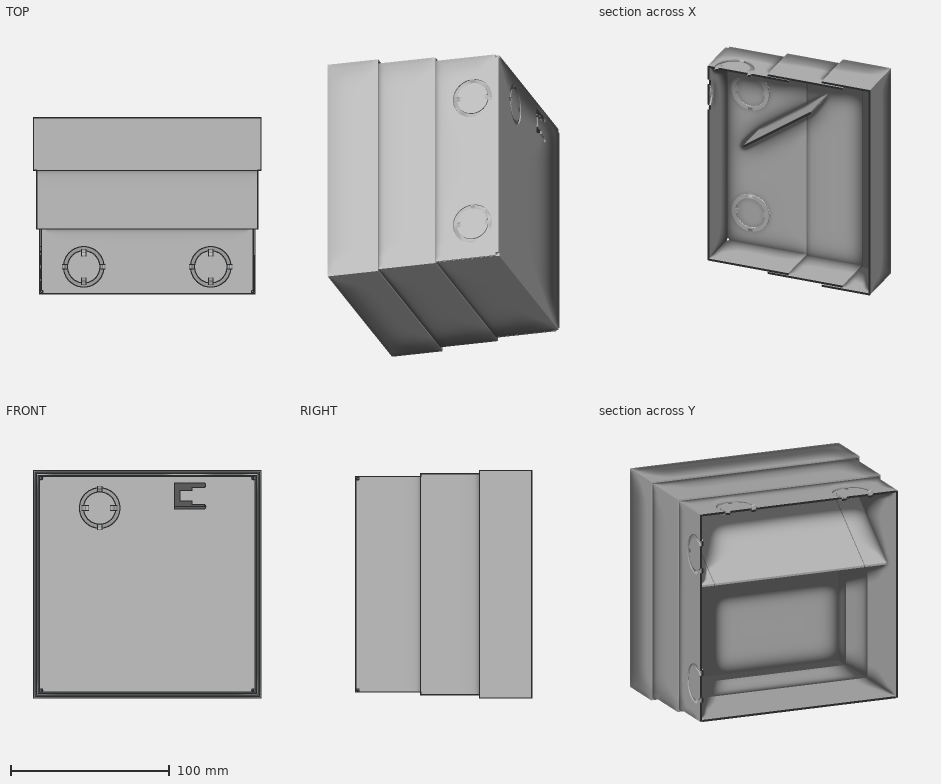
import cadquery as cq
import math

sheet = 1.0
lid_size = 143.5
collar_size = 139.5
box_size = 136.0
total_depth = 111.0
box_shown = 40.9
collar_shown = 37.0
overlap = 14.4

front_y = -total_depth / 2
back_y = total_depth / 2
collar_front_y = front_y + box_shown
lid_front_y = collar_front_y + collar_shown
box_half = box_size / 2

seam_gap = 0.3
corner_relief = 2.0

ring_outer_radius = 12.8
ring_inner_radius = 10.2
ring_sink = 1.1
bridge_width = 3.0
outer_bridge_span = (10.3, 13.5)
inner_bridge_span = (6.9, 11.0)
side_knockout_setback = 17.1
top_knockout_x = 40.0
left_knockout_heights = (40.0, -44.9)
front_knockout_x = -30.0
front_knockout_z = 48.1

slot_left = 17.2
slot_right = 36.7
slot_centre_z = 55.7
slot_half_height = 8.3
arm_height = 3.0
tongue_tip_x = 20.5
tongue_step_x = 28.3
tongue_tip_half_height = 3.3
arm_corner_radius = 1.3

plate_top_z = 49.0
plate_top_setback = 70.3
plate_run = 45.9
plate_angle = 35.0
side_strip_inner_x = 52.0
plate_gap = 0.6


def block(x_range, y_range, z_range):
    """Box given by its limits along each axis."""
    size = [high - low for low, high in (x_range, y_range, z_range)]
    corner = cq.Vector(x_range[0], y_range[0], z_range[0])
    return cq.Workplane(obj=cq.Solid.makeBox(*size, corner))


def square_tube(size, start_y, end_y):
    """Open square sleeve along Y."""
    outer = size / 2
    inner = outer - sheet
    tube = block((-outer, outer), (start_y, end_y), (-outer, outer))
    return tube.cut(block((-inner, inner), (start_y, end_y), (-inner, inner)))


def annulus(plane, outer_radius, inner_radius, outside, inside):
    """Flat ring between two depths below the plane."""
    ring = cq.Workplane(plane).workplane(offset=-inside)
    return ring.circle(outer_radius).circle(inner_radius).extrude(inside - outside)


def bridge(plane, angle, span, high_end_outside):
    """S-bent strip that steps between wall level and ring level along a radius."""
    start, end = span
    start_depth, end_depth = (-ring_sink, 0) if high_end_outside else (0, -ring_sink)
    middle = ((start + end) / 2, -ring_sink / 2)
    half_run = (end - start) / 2
    rise = (end_depth - start_depth) / 2
    bend = (half_run ** 2 + rise ** 2) / (2 * abs(rise))
    sign = 1 if rise > 0 else -1
    side_plane = cq.Plane(
        origin=plane.toWorldCoords((0, 0, 0)), xDir=plane.xDir, normal=plane.yDir.multiply(-1)
    )

    def bend_point(end_x, end_z, direction):
        """Midpoint of the arc that leaves the end level and reaches the middle."""
        centre = cq.Vector(end_x, end_z + direction * bend)
        chord_middle = (cq.Vector(end_x, end_z) + cq.Vector(*middle)) * 0.5
        return centre + (chord_middle - centre).normalized() * bend

    first = bend_point(start, start_depth, sign)
    second = bend_point(end, end_depth, -sign)
    strip = (
        cq.Workplane(side_plane)
        .moveTo(start, start_depth)
        .threePointArc((first.x, first.y), middle)
        .threePointArc((second.x, second.y), (end, end_depth))
        .lineTo(end, end_depth - sheet)
        .threePointArc((second.x, second.y - sheet), (middle[0], middle[1] - sheet))
        .threePointArc((first.x, first.y - sheet), (start, start_depth - sheet))
        .close()
        .extrude(bridge_width / 2, both=True)
    )
    origin = plane.origin
    return strip.rotate(origin.toTuple(), (origin + plane.zDir).toTuple(), angle)


def add_knockout(body, plane):
    """Sink a ring into a wall and tie it to wall and disc with four bridges.

    The plane lies on the wall, points outward, and its X axis runs through
    the two wall-to-ring bridges.
    """
    body = body.cut(annulus(plane, ring_outer_radius, ring_inner_radius, 0, sheet))
    body = body.union(
        annulus(plane, ring_outer_radius, ring_inner_radius, ring_sink, ring_sink + sheet)
    )
    depth = ring_sink + sheet
    for angle in (0, 90, 180, 270):
        reaches_wall = angle in (0, 180)
        span = outer_bridge_span if reaches_wall else inner_bridge_span
        opening = (
            cq.Workplane(plane)
            .transformed(rotate=(0, 0, angle))
            .center(sum(span) / 2, 0)
            .rect(span[1] - span[0], bridge_width)
            .extrude(-depth)
        )
        body = body.cut(opening).union(bridge(plane, angle, span, reaches_wall))
    return body


def tongue_slot():
    """Cutter for the C-shaped slot around the stepped tongue."""
    top = slot_centre_z + slot_half_height
    bottom = slot_centre_z - slot_half_height
    wall = (front_y, front_y + sheet)
    slot = block((slot_left, slot_right), wall, (bottom, top))
    tongue_root = block(
        (tongue_step_x, slot_right), wall, (bottom + arm_height, top - arm_height)
    )
    tongue_tip = block(
        (tongue_tip_x, tongue_step_x),
        wall,
        (slot_centre_z - tongue_tip_half_height, slot_centre_z + tongue_tip_half_height),
    )
    slot = slot.cut(tongue_root).cut(tongue_tip)
    return slot.edges("|Y").edges(">X").fillet(arm_corner_radius)


def make_box():
    """Folded front box, open at the back."""
    box_back_y = collar_front_y + overlap
    box = square_tube(box_size, front_y, box_back_y)
    box = box.union(
        block((-box_half, box_half), (front_y, front_y + sheet), (-box_half, box_half))
    )
    inner = box_half - sheet
    relief = box_half - corner_relief
    for x_side in (-1, 1):
        for z_side in (-1, 1):
            seam_x = sorted((x_side * inner, x_side * (inner - seam_gap)))
            seam_z = sorted((z_side * inner, z_side * box_half))
            box = box.cut(block(seam_x, (front_y + sheet, box_back_y), seam_z))
            relief_x = sorted((x_side * relief, x_side * box_half))
            relief_z = sorted((z_side * relief, z_side * box_half))
            box = box.cut(block(relief_x, (front_y, front_y + corner_relief), relief_z))

    side_knockout_y = front_y + side_knockout_setback
    for x in (-top_knockout_x, top_knockout_x):
        box = add_knockout(box, cq.Plane((x, side_knockout_y, box_half), (1, 0, 0), (0, 0, 1)))
    for z in left_knockout_heights:
        box = add_knockout(box, cq.Plane((-box_half, side_knockout_y, z), (0, 0, 1), (-1, 0, 0)))
    front_centre = (front_knockout_x, front_y, front_knockout_z)
    box = add_knockout(box, cq.Plane(front_centre, (0, 0, 1), (0, -1, 0)))
    return box.cut(tongue_slot())


def make_collar():
    """Square sleeve between box and lid."""
    return square_tube(collar_size, collar_front_y, lid_front_y + overlap)


def make_lid():
    """Rear sleeve closed by a back wall."""
    half = lid_size / 2
    sleeve = square_tube(lid_size, lid_front_y, back_y)
    return sleeve.union(block((-half, half), (back_y - sheet, back_y), (-half, half)))


def make_sloping_plate(left_x, right_x):
    """Flat plate between two X limits that climbs toward the back."""
    top_y = front_y + plate_top_setback
    bottom_y = top_y - plate_run
    bottom_z = plate_top_z - plate_run * math.tan(math.radians(plate_angle))
    vertical_thickness = sheet / math.cos(math.radians(plate_angle))
    return (
        cq.Workplane("YZ", origin=(left_x, 0, 0))
        .moveTo(top_y, plate_top_z)
        .lineTo(bottom_y, bottom_z)
        .lineTo(bottom_y, bottom_z - vertical_thickness)
        .lineTo(top_y, plate_top_z - vertical_thickness)
        .close()
        .extrude(right_x - left_x)
    )


box = make_box()
collar = make_collar()
lid = make_lid()

centre_half_width = side_strip_inner_x - plate_gap
centre_plate = make_sloping_plate(-centre_half_width, centre_half_width)

side_strip_width = box_half - sheet - side_strip_inner_x
side_strips = []
for strip_left_x in (sheet - box_half, side_strip_inner_x):
    side_strips.append(make_sloping_plate(strip_left_x, strip_left_x + side_strip_width))

bodies = [box, collar, lid, centre_plate, *side_strips]
result = cq.Compound.makeCompound([body.solids().val() for body in bodies])